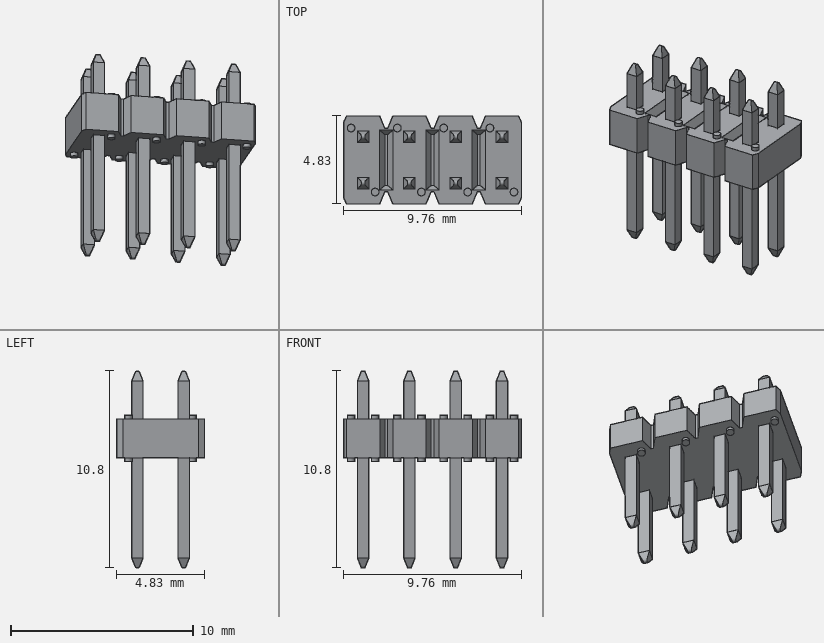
import cadquery as cq

COLUMNS = 4
ROWS = 2
PITCH = 2.54

HOUSING_LENGTH = 9.76
HOUSING_WIDTH = 4.83
HOUSING_HEIGHT = 2.14
CORNER_CUT_X = 0.16
CORNER_CUT_Y = 0.35

NOTCH_MOUTH = 0.71
NOTCH_FLOOR = 0.15
NOTCH_DEPTH = 0.67

POCKET_LENGTH = 3.28
POCKET_WIDTH = 0.73
POCKET_SIDE_INSET = 0.29
POCKET_END_INSET = 0.25
POCKET_DEPTH = 0.45

STANDOFF_DIAMETER = 0.42
STANDOFF_HEIGHT = 0.2
STANDOFF_OFFSET_X = 0.66
STANDOFF_OFFSET_Y = 0.49

PIN_LENGTH = 10.8
PIN_ABOVE_HOUSING = 2.62
PIN_WIDTH = 0.64
TIP_LENGTH = 0.55
TIP_END_WIDTH = 0.19
TIP_ROUND_RADIUS = 0.14

PIN_TOP = HOUSING_HEIGHT + PIN_ABOVE_HOUSING
PIN_BOTTOM = PIN_TOP - PIN_LENGTH

column_positions = [(i - (COLUMNS - 1) / 2) * PITCH for i in range(COLUMNS)]
row_positions = [(j - (ROWS - 1) / 2) * PITCH for j in range(ROWS)]
pin_positions = [(x, y) for x in column_positions for y in row_positions]
gap_positions = [x + PITCH / 2 for x in column_positions[:-1]]


def make_block():
    """Rectangular block with its four upright corners cut off at a slant."""
    end_x = HOUSING_LENGTH / 2
    side_y = HOUSING_WIDTH / 2
    cut_x = end_x - CORNER_CUT_X
    cut_y = side_y - CORNER_CUT_Y
    outline = [
        (-cut_x, -side_y), (cut_x, -side_y), (end_x, -cut_y), (end_x, cut_y),
        (cut_x, side_y), (-cut_x, side_y), (-end_x, cut_y), (-end_x, -cut_y),
    ]
    return cq.Workplane("XY").polyline(outline).close().extrude(HOUSING_HEIGHT)


def make_notch(x, side):
    """Full-height notch at x in the side facing +Y (side = 1) or -Y (side = -1)."""
    mouth_y = side * HOUSING_WIDTH / 2
    floor_y = side * (HOUSING_WIDTH / 2 - NOTCH_DEPTH)
    outline = [
        (x - NOTCH_MOUTH / 2, mouth_y), (x - NOTCH_FLOOR / 2, floor_y),
        (x + NOTCH_FLOOR / 2, floor_y), (x + NOTCH_MOUTH / 2, mouth_y),
    ]
    return cq.Workplane("XY").polyline(outline).close().extrude(HOUSING_HEIGHT)


def make_pocket(x):
    """Pocket at x whose four walls slope in to a narrow flat floor."""
    return (
        cq.Workplane("XY", origin=(x, 0, HOUSING_HEIGHT))
        .rect(POCKET_WIDTH, POCKET_LENGTH)
        .workplane(offset=-POCKET_DEPTH)
        .rect(POCKET_WIDTH - 2 * POCKET_SIDE_INSET, POCKET_LENGTH - 2 * POCKET_END_INSET)
        .loft(ruled=True)
    )


def make_standoffs():
    """Standoffs beside the pins, reaching past both faces of the housing."""
    standoff_y = row_positions[-1] + STANDOFF_OFFSET_Y
    centres = []
    for x in column_positions:
        centres.append((x - STANDOFF_OFFSET_X, standoff_y))
        centres.append((x + STANDOFF_OFFSET_X, -standoff_y))
    return (
        cq.Workplane("XY", origin=(0, 0, -STANDOFF_HEIGHT))
        .pushPoints(centres)
        .circle(STANDOFF_DIAMETER / 2)
        .extrude(HOUSING_HEIGHT + 2 * STANDOFF_HEIGHT)
    )


def make_housing():
    housing = make_block().union(make_standoffs())
    for x in gap_positions:
        housing = housing.cut(make_notch(x, 1)).cut(make_notch(x, -1)).cut(make_pocket(x))
    pin_holes = (
        cq.Workplane("XY").pushPoints(pin_positions).rect(PIN_WIDTH, PIN_WIDTH).extrude(HOUSING_HEIGHT)
    )
    return housing.cut(pin_holes)


def make_tip(direction):
    """Tapered tip on a shoulder at Z = 0, pointing up (direction = 1) or down (direction = -1)."""
    tip = (
        cq.Workplane("XY")
        .rect(PIN_WIDTH, PIN_WIDTH)
        .workplane(offset=direction * TIP_LENGTH)
        .rect(TIP_END_WIDTH, TIP_END_WIDTH)
        .loft(ruled=True)
    )
    end_face = ">Z" if direction > 0 else "<Z"
    return tip.faces(end_face).edges("|X").fillet(TIP_ROUND_RADIUS)


def make_pin(x, y):
    """Square pin with a tapered tip at each end."""
    upper_shoulder = PIN_TOP - TIP_LENGTH
    lower_shoulder = PIN_BOTTOM + TIP_LENGTH
    shank = (
        cq.Workplane("XY", origin=(x, y, lower_shoulder))
        .rect(PIN_WIDTH, PIN_WIDTH)
        .extrude(upper_shoulder - lower_shoulder)
    )
    upper_tip = make_tip(1).translate((x, y, upper_shoulder))
    lower_tip = make_tip(-1).translate((x, y, lower_shoulder))
    return shank.union(upper_tip).union(lower_tip)


housing = make_housing()
pins = [make_pin(x, y) for x, y in pin_positions]

result = cq.Compound.makeCompound([housing.val(), *[pin.val() for pin in pins]])